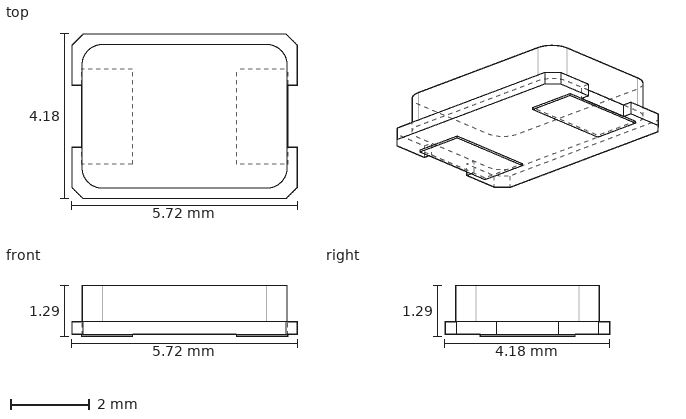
import cadquery as cq

base_length = 5.72
base_width = 4.18
base_thickness = 0.32
corner_chamfer = 0.285
notch_depth = 0.25
notch_width = 1.57

lid_length = 5.205
lid_width = 3.65
lid_height = 0.92
lid_corner_radius = 0.52

pad_length = 1.305
pad_width = 2.415
pad_thickness = 0.05
pad_outer_x = 2.62

base_bottom = pad_thickness
base_top = base_bottom + base_thickness


def block(length, width, height, center_x, bottom):
    """Box centred on Y = 0, standing on the given height."""
    return (
        cq.Workplane("XY", origin=(center_x, 0, bottom))
        .box(length, width, height, centered=(True, True, False))
    )


def make_base():
    """Plate with chamfered corners and an open notch in each short end."""
    plate = block(base_length, base_width, base_thickness, 0, base_bottom)
    plate = plate.edges("|Z").chamfer(corner_chamfer)
    for side in (-1, 1):
        plate = plate.cut(
            block(2 * notch_depth, notch_width, base_thickness, side * base_length / 2, base_bottom)
        )
    return plate


def make_lid():
    """Block with rounded vertical corners, resting on the base."""
    return block(lid_length, lid_width, lid_height, 0, base_top).edges("|Z").fillet(lid_corner_radius)


def make_pad(side):
    """Thin terminal pad under one end of the base."""
    center_x = side * (pad_outer_x - pad_length / 2)
    return block(pad_length, pad_width, pad_thickness, center_x, 0)


base = make_base()
lid = make_lid()
pads = [make_pad(side) for side in (-1, 1)]

result = cq.Compound.makeCompound([base.val(), lid.val(), *[pad.val() for pad in pads]])